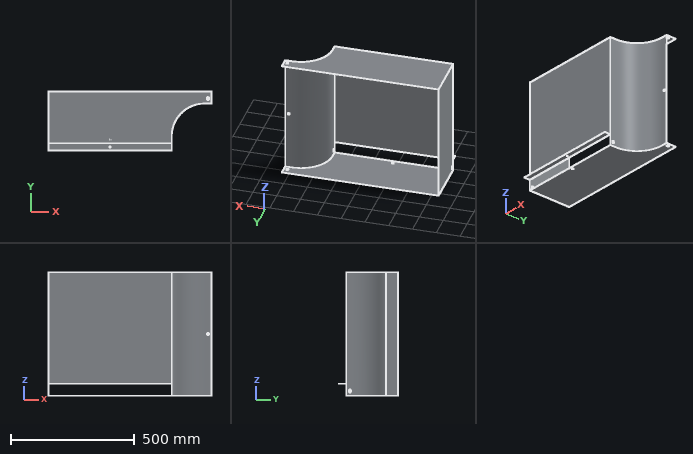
import cadquery as cq

length = 660.0
depth = 240.0
height = 500.0
sheet = 1.0

flange_width = 30.0
end_depth = 50.0
end_flat = 30.0
curve_radius = 131.5
front_length = length - end_flat - curve_radius
front_y = flange_width
end_y = depth - end_depth
curve_start_y = end_y - curve_radius

slot_height = 50.0
hole_inset = 15.0
fixing_diameter = 7.0
flange_hole_diameter = 5.0
oblong_length = 11.0
side_hole_z = 20.0
end_hole_y = depth - 30.0


def plan_body(wall):
    """Solid bounded by the plan outline, with the front, left, curved, floor and roof faces moved in by wall."""
    return (
        cq.Workplane("XY", origin=(0, 0, wall))
        .moveTo(wall, depth)
        .lineTo(wall, front_y + wall)
        .lineTo(front_length - wall, front_y + wall)
        .lineTo(front_length - wall, curve_start_y)
        .radiusArc((front_length + curve_radius, end_y + wall), curve_radius + wall)
        .lineTo(length, end_y + wall)
        .lineTo(length, depth)
        .close()
        .extrude(height - 2 * wall)
    )


def block(x_size, y_size, z_size, corner):
    return cq.Workplane("XY").box(x_size, y_size, z_size, centered=False).translate(corner)


def upright_hole(x, y, z, diameter):
    """Cutter for a vertical hole through one sheet whose lower face is at z."""
    return cq.Workplane("XY", origin=(x, y, z - sheet)).circle(diameter / 2).extrude(3 * sheet)


shell = plan_body(0).cut(plan_body(sheet))

slot = block(front_length - 2 * sheet, sheet, slot_height - sheet, (sheet, front_y, sheet))
flange = block(front_length, flange_width + sheet, sheet, (0, 0, slot_height - sheet))
shell = shell.cut(slot).union(flange)

flange_hole = upright_hole(front_length / 2, hole_inset, slot_height - sheet, flange_hole_diameter)
floor_hole = upright_hole(front_length / 2, front_y + hole_inset, 0, fixing_diameter)
shell = shell.cut(flange_hole).cut(floor_hole)

side_holes = (
    cq.Workplane("YZ", origin=(-sheet, front_y + hole_inset, side_hole_z))
    .slot2D(oblong_length, fixing_diameter, 90)
    .extrude(front_length + 2 * sheet)
)

end_holes = (
    cq.Workplane("XY", origin=(length - hole_inset, end_hole_y, -sheet))
    .slot2D(oblong_length, fixing_diameter, 90)
    .extrude(height + 2 * sheet)
)

strip_hole = (
    cq.Workplane("XZ", origin=(length - hole_inset, end_y + 2 * sheet, height / 2))
    .circle(fixing_diameter / 2)
    .extrude(3 * sheet)
)

result = shell.cut(side_holes).cut(end_holes).cut(strip_hole)